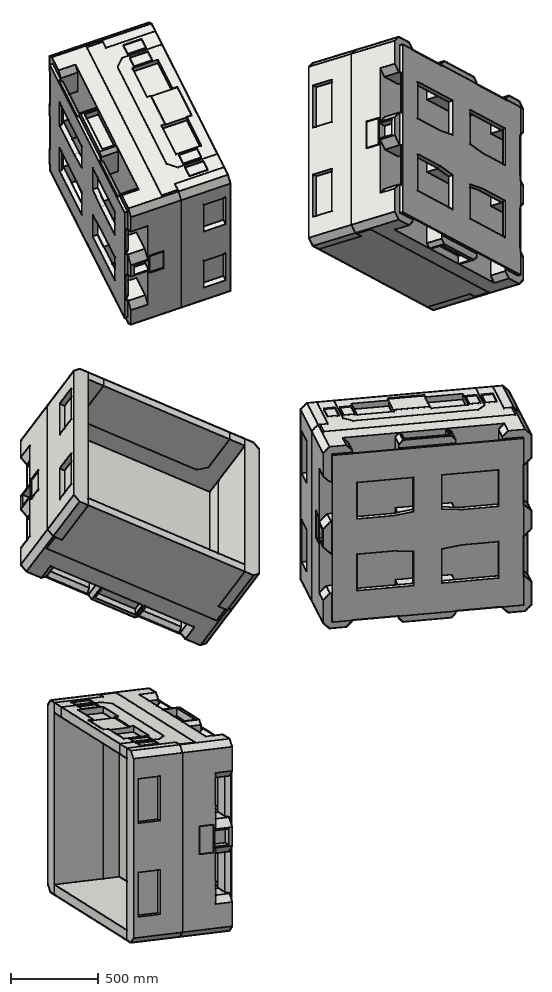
import cadquery as cq


SIDES = (-1, 1)

LENGTH = 1219.0
HEIGHT = 1144.0
DEPTH = 635.0
HALF_LENGTH = LENGTH / 2
HALF_HEIGHT = HEIGHT / 2
CORNER = 38.0

FEET_FRONT = 18.0
FORK_CEILING = 123.0
FLOOR = 229.0
BASE_TOP = 329.0

DECK_HALF_X = 560.0
DECK_HALF_Z = 524.0
DECK_THICKNESS = 32.0
DECK_BEVEL = 25.0
WINDOW_BEVEL = 18.0
WINDOW_INNER_X = 82.0
WINDOW_OUTER_X = 415.0
WINDOW_INNER_Z = 111.0
WINDOW_OUTER_Z = 340.0
WINDOW_SLANT_X = 199.0
WINDOW_SLANT_Z = 125.0

X_CHANNEL_INNER = 102.0
X_CHANNEL_OUTER = 350.0
X_CHANNEL_INNER_FLARE = 46.0
X_CHANNEL_OUTER_FLARE = 40.0
Z_CHANNEL_INNER = 166.0
Z_CHANNEL_OUTER = 439.0
Z_CHANNEL_INNER_FLARE = 24.0
Z_CHANNEL_OUTER_FLARE = 34.0

FOOT_POCKET_DEPTH = 49.0
X_FOOT_POCKET_HALF_WIDTH = 48.0
X_FOOT_POCKET_Y = (40.0, 128.0)
Z_FOOT_POCKET_HALF_WIDTH = 132.0
Z_FOOT_POCKET_Y = (39.0, FORK_CEILING)
LABEL_HALF_WIDTH = 83.0
LABEL_Y = (135.0, 222.0)
SHALLOW_DEPTH = 6.0

END_WALL_THICKNESS = 95.0
LONG_WALL_THICKNESS = 61.0
LONG_WALL_FOOT_HALF = DECK_HALF_X
INNER_HALF_X = HALF_LENGTH - END_WALL_THICKNESS
INNER_HALF_Z = HALF_HEIGHT - LONG_WALL_THICKNESS

END_POCKET_DEPTH = 33.0
END_POCKET_Y = (470.0, 605.0)
END_POCKET_Z = (146.0, 411.0)

GATE_HALF_WIDTH = 415.0
GATE_BOTTOM = 339.0
GATE_CORNER = 49.0
HANDLE_HALF_WIDTH = 107.0
HANDLE_Y = (439.0, 602.0)
GRIP_DEPTH = 37.0
GRIP_OUTER_X = 325.0
GRIP_Y = (415.0, 572.0)

LATCH_Y = (428.0, 541.0)
GATE_LATCH_X = (334.0, 401.0)
WALL_LATCH_X = (428.0, 495.0)


def box_between(x_range, y_range, z_range):
    """Box between two values on each axis, in either order."""
    x0, x1 = sorted(x_range)
    y0, y1 = sorted(y_range)
    z0, z1 = sorted(z_range)
    return cq.Workplane("XY").box(x1 - x0, y1 - y0, z1 - z0, centered=False).translate((x0, y0, z0))


def prism(points, y_start, y_end):
    """Closed (x, z) outline extruded from y_start to y_end."""
    return cq.Workplane("XZ", origin=(0, y_start, 0)).polyline(points).close().extrude(y_start - y_end)


def envelope(y_start, y_end):
    """Rectangle of the full outer size with its four corners cut off."""
    corner_start_x = HALF_LENGTH - CORNER
    corner_start_z = HALF_HEIGHT - CORNER
    outline = [
        (-corner_start_x, -HALF_HEIGHT), (corner_start_x, -HALF_HEIGHT),
        (HALF_LENGTH, -corner_start_z), (HALF_LENGTH, corner_start_z),
        (corner_start_x, HALF_HEIGHT), (-corner_start_x, HALF_HEIGHT),
        (-HALF_LENGTH, corner_start_z), (-HALF_LENGTH, -corner_start_z),
    ]
    return prism(outline, y_start, y_end)


def end_pocket(side, y_range, z_range, depth):
    """Cutter for a pocket in the -X or +X face."""
    return box_between((side * HALF_LENGTH, side * (HALF_LENGTH - depth)), y_range, z_range)


def long_pocket(side, x_range, y_range, depth):
    """Cutter for a pocket in the -Z or +Z face."""
    return box_between(x_range, y_range, (side * HALF_HEIGHT, side * (HALF_HEIGHT - depth)))


def channel_outline(half_run, inner, outer, inner_flare, outer_flare):
    """(along, across) outline of a fork channel that widens towards both of its mouths."""
    return [
        (-half_run, inner - inner_flare), (-half_run + inner_flare, inner),
        (half_run - inner_flare, inner), (half_run, inner - inner_flare),
        (half_run, outer + outer_flare), (half_run - outer_flare, outer),
        (-half_run + outer_flare, outer), (-half_run, outer + outer_flare),
    ]


def cut_fork_channels(base):
    """Two channels along X and two along Z, which leave nine feet."""
    along_x = channel_outline(
        HALF_LENGTH, X_CHANNEL_INNER, X_CHANNEL_OUTER, X_CHANNEL_INNER_FLARE, X_CHANNEL_OUTER_FLARE
    )
    along_z = channel_outline(
        HALF_HEIGHT, Z_CHANNEL_INNER, Z_CHANNEL_OUTER, Z_CHANNEL_INNER_FLARE, Z_CHANNEL_OUTER_FLARE
    )
    for side in SIDES:
        base = base.cut(prism([(x, side * z) for x, z in along_x], FEET_FRONT, FORK_CEILING))
        base = base.cut(prism([(side * x, z) for z, x in along_z], FEET_FRONT, FORK_CEILING))
    return base


def deck_block():
    """Skid deck before it is bevelled and its windows are cut."""
    return box_between(
        (-DECK_HALF_X, DECK_HALF_X), (0, DECK_THICKNESS), (-DECK_HALF_Z, DECK_HALF_Z)
    )


def bevel_cutter(plane, edge, inward, size, span):
    """45 degree wedge along a back edge of the deck.

    The edge lies at `edge` on the X axis (plane "XY") or on the Z axis (plane "ZY"), the wedge
    goes from it in the `inward` direction, and `span` is its range along the edge.
    """
    start, end = sorted(span)
    wedge = [
        (edge, DECK_THICKNESS - size), (edge + inward * size, DECK_THICKNESS), (edge, DECK_THICKNESS),
    ]
    origin = (0, 0, start) if plane == "XY" else (end, 0, 0)
    return cq.Workplane(plane, origin=origin).polyline(wedge).close().extrude(end - start)


def cut_deck_bevels(base):
    """Bevels of the deck at the channel mouths and on the outer side of each window."""
    for side_x in SIDES:
        for side_z in SIDES:
            x_span = (side_x * Z_CHANNEL_INNER, side_x * Z_CHANNEL_OUTER)
            z_span = (side_z * X_CHANNEL_INNER, side_z * X_CHANNEL_OUTER)
            window_span = (side_z * WINDOW_INNER_Z, side_z * WINDOW_OUTER_Z)
            base = base.cut(bevel_cutter("XY", side_x * DECK_HALF_X, -side_x, DECK_BEVEL, z_span))
            base = base.cut(bevel_cutter("ZY", side_z * DECK_HALF_Z, -side_z, DECK_BEVEL, x_span))
            base = base.cut(bevel_cutter("XY", side_x * WINDOW_OUTER_X, side_x, WINDOW_BEVEL, window_span))
    return base


def cut_deck_windows(base):
    """Four windows, each with a slanted edge towards the middle of the deck."""
    outline = [
        (WINDOW_INNER_X, WINDOW_SLANT_Z), (WINDOW_SLANT_X, WINDOW_INNER_Z),
        (WINDOW_OUTER_X, WINDOW_INNER_Z), (WINDOW_OUTER_X, WINDOW_OUTER_Z),
        (WINDOW_INNER_X, WINDOW_OUTER_Z),
    ]
    for side_x in SIDES:
        for side_z in SIDES:
            window = [(side_x * x, side_z * z) for x, z in outline]
            base = base.cut(prism(window, 0, DECK_THICKNESS))
    return base


def cut_base_pockets(base):
    """Pockets in the middle feet and a shallow label recess on each end."""
    foot_z = (-X_FOOT_POCKET_HALF_WIDTH, X_FOOT_POCKET_HALF_WIDTH)
    foot_x = (-Z_FOOT_POCKET_HALF_WIDTH, Z_FOOT_POCKET_HALF_WIDTH)
    label_z = (-LABEL_HALF_WIDTH, LABEL_HALF_WIDTH)
    for side in SIDES:
        base = base.cut(end_pocket(side, X_FOOT_POCKET_Y, foot_z, FOOT_POCKET_DEPTH))
        base = base.cut(long_pocket(side, foot_x, Z_FOOT_POCKET_Y, FOOT_POCKET_DEPTH))
        base = base.cut(end_pocket(side, LABEL_Y, label_z, SHALLOW_DEPTH))
    return base


def long_wall_blank(side):
    """T-shaped wall whose wider foot stands in a notch of the base."""
    z_range = (side * INNER_HALF_Z, side * HALF_HEIGHT)
    foot = box_between((-LONG_WALL_FOOT_HALF, LONG_WALL_FOOT_HALF), (FLOOR, BASE_TOP), z_range)
    upper = box_between((-INNER_HALF_X, INNER_HALF_X), (BASE_TOP, DEPTH), z_range)
    return foot.union(upper)


def make_pallet_base():
    base = cut_fork_channels(envelope(FEET_FRONT, BASE_TOP))
    base = cut_deck_windows(base.union(deck_block()))
    base = cut_deck_bevels(base)
    base = cut_base_pockets(base)
    interior = box_between(
        (-INNER_HALF_X, INNER_HALF_X), (FLOOR, BASE_TOP), (-INNER_HALF_Z, INNER_HALF_Z)
    )
    base = base.cut(interior)
    for side in SIDES:
        base = base.cut(long_wall_blank(side))
    return base


def make_end_wall(side):
    """Wall on the -X or +X end with two pockets in its outer face."""
    slab = box_between(
        (side * INNER_HALF_X, side * HALF_LENGTH), (BASE_TOP, DEPTH), (-HALF_HEIGHT, HALF_HEIGHT)
    )
    wall = envelope(BASE_TOP, DEPTH).intersect(slab)
    for pocket_side in SIDES:
        z_range = [pocket_side * z for z in END_POCKET_Z]
        wall = wall.cut(end_pocket(side, END_POCKET_Y, z_range, END_POCKET_DEPTH))
    return wall


def gate_blank():
    """Gate slab with its two lower corners cut off."""
    outline = [
        (-GATE_HALF_WIDTH, DEPTH), (-GATE_HALF_WIDTH, GATE_BOTTOM + GATE_CORNER),
        (-GATE_HALF_WIDTH + GATE_CORNER, GATE_BOTTOM), (GATE_HALF_WIDTH - GATE_CORNER, GATE_BOTTOM),
        (GATE_HALF_WIDTH, GATE_BOTTOM + GATE_CORNER), (GATE_HALF_WIDTH, DEPTH),
    ]
    blank = cq.Workplane("XY", origin=(0, 0, INNER_HALF_Z)).polyline(outline).close()
    return blank.extrude(LONG_WALL_THICKNESS)


def cut_latch_recesses(body, latch_x):
    """Shallow latch recess on each side of the +Z face."""
    for side in SIDES:
        x_range = [side * x for x in latch_x]
        body = body.cut(long_pocket(1, x_range, LATCH_Y, SHALLOW_DEPTH))
    return body


def make_gated_wall():
    """Wall on the +Z side with the opening for the gate."""
    return cut_latch_recesses(long_wall_blank(1).cut(gate_blank()), WALL_LATCH_X)


def make_plain_wall():
    """Wall on the -Z side."""
    return long_wall_blank(-1)


def make_gate():
    """Gate with a shallow handle plate between two deep grip pockets."""
    gate = cut_latch_recesses(gate_blank(), GATE_LATCH_X)
    handle_x = (-HANDLE_HALF_WIDTH, HANDLE_HALF_WIDTH)
    gate = gate.cut(long_pocket(1, handle_x, HANDLE_Y, SHALLOW_DEPTH))
    for side in SIDES:
        grip_x = (side * HANDLE_HALF_WIDTH, side * GRIP_OUTER_X)
        gate = gate.cut(long_pocket(1, grip_x, GRIP_Y, GRIP_DEPTH))
    return gate


pallet_base = make_pallet_base()
end_walls = [make_end_wall(side) for side in SIDES]
gated_wall = make_gated_wall()
plain_wall = make_plain_wall()
gate = make_gate()

result = cq.Compound.makeCompound([
    pallet_base.val(),
    *[wall.val() for wall in end_walls],
    gated_wall.val(),
    plain_wall.val(),
    gate.val(),
])